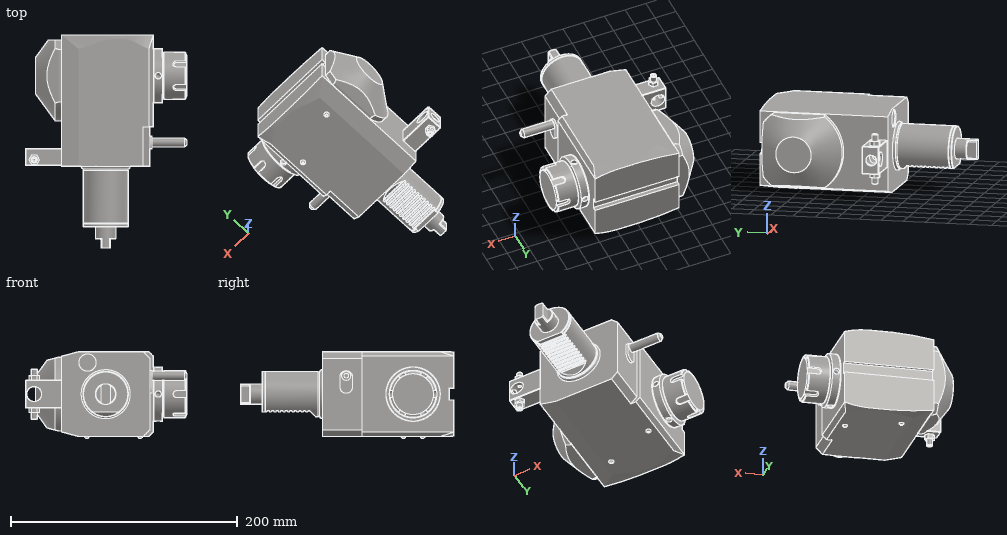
import cadquery as cq
import math


body_left = -39.0
body_right = 42.0
body_depth = 116.0
half_height = 37.5
left_bevel_width = 15.2
left_bevel_drop = left_bevel_width * math.tan(math.radians(15))
right_chamfer = 4.0
step_depth = 35.0
step_cut = 3.0
step_chamfer = 6.0
slot_width = 10.0
slot_depth = 4.0
crown_depth = 12.5
crown_peak_x = 13.5
crown_drop = 0.4
crown_rise = 0.9
crown_mid_drop = 0.17
plug_radius = 7.6
plug_x = -16.0
plug_z = 27.8
plug_recess = 1.0

spindle_y = 80.0
cover_radius = 40.0
cover_face_radius = 16.0
cover_face_x = -62.0
cover_cone_x = -44.5
cover_bevel_x = -41.3
cover_half_height = 32.7
cover_bevel_angle = 15.0
cover_back_y = 111.5

flange_radius = 24.0
flange_undercut = 0.5
flange_start = body_right + 0.7
flange_end = 50.0
flange_hole_radius = 2.75
flange_hole_depth = 4.0
flange_hole_count = 4
neck_radius = 16.3
nut_start = 51.0
nut_end = 70.6
nut_chamfer = 0.6
nut_radius = 21.0
nut_lip_radius = 18.0
nut_lip_end = 71.5
wrench_slot_count = 6
wrench_slot_width = 6.0
wrench_slot_start = 59.5
wrench_slot_floor = 18.0

pin_y = 21.1
pin_z = 16.2
pin_radius = 4.0
pin_end = 71.8
pin_chamfer_length = 2.2
pin_chamfer_width = 1.9
pin_plate_width = 11.2
pin_plate_bottom = 0.8
pin_plate_top = 20.6
pin_plate_thickness = 2.0

shank_radius = 20.0
shank_length = 53.2
shank_chamfer = 0.5
collar_radius = 21.6
collar_length = 2.3
collar_fillet = 2.0
neck_length = 1.4
neck_depth = 0.3
land_length = 3.2
land_groove_width = 0.5
land_groove_depth = 0.3
rack_flat_z = -15.8
rack_ramp_start = 5.8
rack_ramp_length = shank_radius + rack_flat_z
rack_pitch = 4.0
rack_first_groove = 11.7
rack_groove_count = 10
rack_groove_depth = 1.1
rack_groove_top = 2.6
rack_groove_bottom = 1.4

drive_radius = 9.1
drive_shoulder = 64.0
drive_end = 72.0
tang_thickness = 8.2
tang_chamfer = 0.8
drive_chamfer = 0.5
tang_root_fillet = 0.8

bracket_left = -70.8
bracket_front = 0.7
bracket_back = 15.9
bracket_half_height = 12.4
bracket_chamfer = 0.5
bracket_bore_x = -63.0
bracket_bore_radius = 6.5
side_bore_y = 7.6
side_bore_radius = 4.75
side_bore_end = -46.0
stud_hole_radius = 1.4
stud_hole_depth = 2.0
coolant_radius = 1.3
stud_y = 5.9
stud_radius = 2.7
stud_tip_z = 22.3
stud_chamfer = 0.4
stud_socket_flats = 2.5
stud_socket_depth = 2.0
stud_embed = 4.0
locknut_flats = 8.0
locknut_height = 4.0

nipple_places = [(-16.6, 88.5), (30.4, 71.5)]
nipple_base_radius = 2.3
nipple_tip_radius = 0.9
nipple_height = 1.6

overlap = 2.0
clearance = 20.0


def box(x0, x1, y0, y1, z0, z1):
    return cq.Workplane("XY").box(x1 - x0, y1 - y0, z1 - z0, centered=False).translate((x0, y0, z0))


def rod_x(y, z, radius, x0, x1):
    return cq.Workplane("YZ", origin=(x0, y, z)).circle(radius).extrude(x1 - x0)


def rod_y(x, z, radius, y0, y1):
    return cq.Workplane("XZ", origin=(x, y0, z)).circle(radius).extrude(y0 - y1)


def revolve_x(y, z, profile):
    """Turn an (x, radius) profile about a line parallel to X."""
    outline = cq.Workplane("XY").polyline(profile).close()
    return outline.revolve(360, (0, 0, 0), (1, 0, 0)).translate((0, y, z))


def mirror_z(shape):
    return shape.union(shape.mirror("XY"))


def crown_cutter():
    """Ruled cutter that slopes and arches the upper rear edge of the housing."""
    bevel_z = half_height - left_bevel_drop
    far_left = body_left - clearance
    far_right = body_right + clearance
    top = half_height + clearance

    def arched(plane, left_x, right_x, left_z, right_z, peak_z):
        left_reach = crown_peak_x - left_x
        right_reach = right_x - crown_peak_x
        left_mid = (crown_peak_x - left_reach / 2, peak_z - (peak_z - left_z) * crown_mid_drop)
        right_mid = (crown_peak_x + right_reach / 2, peak_z - (peak_z - right_z) * crown_mid_drop)
        return (
            plane.moveTo(far_left, left_z)
            .lineTo(left_x, left_z)
            .spline([left_mid, (crown_peak_x, peak_z), right_mid, (right_x, right_z)], includeCurrent=True)
            .lineTo(far_right, right_z)
            .lineTo(far_right, top)
            .lineTo(far_left, top)
            .close()
        )

    rear = arched(
        cq.Workplane("XZ", origin=(0, body_depth, 0)),
        body_left, body_right, bevel_z, half_height - right_chamfer, half_height - crown_drop,
    )
    both = arched(
        rear.workplane(offset=crown_depth),
        body_left + left_bevel_width, body_right - right_chamfer,
        half_height, half_height, half_height + crown_rise,
    )
    return both.loft(ruled=True)


def housing():
    bevel_z = half_height - left_bevel_drop
    upper = [
        (body_left, bevel_z),
        (body_left + left_bevel_width, half_height),
        (body_right - right_chamfer, half_height),
        (body_right, half_height - right_chamfer),
    ]
    lower = [(x, -z) for x, z in reversed(upper)]
    body = cq.Workplane("XZ").polyline(upper + lower).close().extrude(-body_depth)

    step_x = body_right - step_cut
    step_tool = box(step_x, body_right + clearance, -overlap, step_depth,
                    -half_height - overlap, half_height + overlap)
    corner = (
        cq.Workplane("XZ", origin=(0, -overlap, 0))
        .moveTo(step_x - step_chamfer, half_height)
        .lineTo(step_x + step_chamfer, half_height)
        .lineTo(step_x + step_chamfer, half_height - 2 * step_chamfer)
        .close()
        .extrude(-(step_depth + overlap))
    )
    slot = box(body_left - overlap, body_right + overlap, body_depth - slot_depth,
               body_depth + overlap, -slot_width / 2, slot_width / 2)
    plug = rod_y(plug_x, plug_z, plug_radius, -overlap, plug_recess)
    body = body.cut(step_tool).cut(mirror_z(corner)).cut(slot).cut(plug)
    crown = crown_cutter()
    return body.cut(crown).cut(crown.mirror("XY"))


def cover():
    """Domed cover on the far end of the spindle, trimmed flat at top, bottom and rear."""
    inner_x = body_left + overlap
    dome = revolve_x(spindle_y, 0, [
        (inner_x, 0),
        (inner_x, cover_radius),
        (cover_cone_x, cover_radius),
        (cover_face_x, cover_face_radius),
        (cover_face_x, 0),
    ])
    bevel_drop = (cover_bevel_x - cover_face_x) * math.tan(math.radians(cover_bevel_angle))
    face_z = cover_half_height - bevel_drop
    upper = [
        (cover_face_x, face_z),
        (cover_bevel_x, cover_half_height),
        (inner_x, cover_half_height),
    ]
    lower = [(x, -z) for x, z in reversed(upper)]
    envelope = (
        cq.Workplane("XZ", origin=(0, cover_back_y, 0))
        .polyline(upper + lower)
        .close()
        .extrude(2 * cover_radius)
    )
    return dome.intersect(envelope)


def spindle_nose():
    nose = revolve_x(spindle_y, 0, [
        (body_right - overlap, 0),
        (body_right - overlap, flange_radius - flange_undercut),
        (flange_start, flange_radius - flange_undercut),
        (flange_start, flange_radius),
        (flange_end, flange_radius),
        (flange_end, neck_radius),
        (nut_start, neck_radius),
        (nut_start, nut_radius - nut_chamfer),
        (nut_start + nut_chamfer, nut_radius),
        (nut_end - nut_chamfer, nut_radius),
        (nut_end, nut_radius - nut_chamfer),
        (nut_lip_end, nut_lip_radius),
        (nut_lip_end, 0),
    ])
    hole_x = (flange_start + flange_end) / 2
    hole = (
        cq.Workplane("XY", origin=(hole_x, spindle_y, flange_radius - flange_hole_depth))
        .circle(flange_hole_radius)
        .extrude(flange_hole_depth + overlap)
    )
    tip = cq.Workplane(cq.Solid.makeCone(
        flange_hole_radius, 0, flange_hole_radius,
        cq.Vector(hole_x, spindle_y, flange_radius - flange_hole_depth), cq.Vector(0, 0, -1),
    ))
    drilled = hole.union(tip)
    axis_start = (0, spindle_y, 0)
    axis_end = (1, spindle_y, 0)
    for i in range(flange_hole_count):
        nose = nose.cut(drilled.rotate(axis_start, axis_end, i * 360 / flange_hole_count))

    slot_length = nut_lip_end + overlap - wrench_slot_start + wrench_slot_width
    wrench_slot = (
        cq.Workplane("XZ", origin=(wrench_slot_start + slot_length / 2, spindle_y - wrench_slot_floor, 0))
        .slot2D(slot_length, wrench_slot_width)
        .extrude(nut_radius)
    )
    for i in range(wrench_slot_count):
        nose = nose.cut(wrench_slot.rotate(axis_start, axis_end, i * 360 / wrench_slot_count))
    return nose


def locating_pin():
    """Pointed pin standing on a round-ended plate on the stepped face."""
    step_x = body_right - step_cut
    pin = revolve_x(pin_y, pin_z, [
        (step_x - overlap, 0),
        (step_x - overlap, pin_radius),
        (pin_end - pin_chamfer_length, pin_radius),
        (pin_end, pin_radius - pin_chamfer_width),
        (pin_end, 0),
    ])
    plate = (
        cq.Workplane("YZ", origin=(step_x - overlap, pin_y, (pin_plate_bottom + pin_plate_top) / 2))
        .slot2D(pin_plate_top - pin_plate_bottom, pin_plate_width, 90)
        .extrude(overlap + pin_plate_thickness)
    )
    return pin.union(plate)


def ring_groove(start, width, depth):
    """Cutter for a groove around the shank, starting at a distance from the housing."""
    ring = rod_y(0, 0, shank_radius + overlap, -start, -start - width)
    return ring.cut(rod_y(0, 0, shank_radius - depth, 0, -shank_length))


def shank():
    """Round shank with a toothed clamping flat along its underside."""
    barrel = rod_y(0, 0, shank_radius, 0, -shank_length).faces("<Y").chamfer(shank_chamfer)
    land_start = shank_length - land_length
    groove = ring_groove(land_start, land_groove_width, land_groove_depth)
    neck = ring_groove(collar_length, neck_length, neck_depth)

    flat_tool = (
        cq.Workplane("YZ", origin=(-shank_radius, 0, 0))
        .moveTo(-rack_ramp_start, -shank_radius)
        .lineTo(-rack_ramp_start - rack_ramp_length, rack_flat_z)
        .lineTo(-shank_length - overlap, rack_flat_z)
        .lineTo(-shank_length - overlap, -shank_radius - overlap)
        .lineTo(-rack_ramp_start, -shank_radius - overlap)
        .close()
        .extrude(2 * shank_radius)
    )
    barrel = barrel.cut(groove).cut(neck).cut(flat_tool)
    for i in range(rack_groove_count):
        y = -rack_first_groove - i * rack_pitch
        tooth_gap = (
            cq.Workplane("YZ", origin=(-shank_radius, y, rack_flat_z))
            .moveTo(-rack_groove_top / 2, 0)
            .lineTo(-rack_groove_bottom / 2, rack_groove_depth)
            .lineTo(rack_groove_bottom / 2, rack_groove_depth)
            .lineTo(rack_groove_top / 2, 0)
            .close()
            .extrude(2 * shank_radius)
        )
        barrel = barrel.cut(tooth_gap)
    collar = rod_y(0, 0, collar_radius, overlap, -collar_length).faces("<Y").edges().fillet(collar_fillet)
    return barrel.union(collar)


def drive_tang():
    stub = rod_y(0, 0, drive_radius, overlap - shank_length, -drive_shoulder)
    stub = stub.faces("<Y").chamfer(drive_chamfer)
    half = tang_thickness / 2
    blade = box(-half, half, -drive_end, -drive_shoulder + overlap, -drive_radius, drive_radius)
    blade = blade.intersect(rod_y(0, 0, drive_radius, 0, -drive_end))
    blade = blade.edges("|Y").chamfer(tang_chamfer)
    root = (
        cq.Workplane("XY", origin=(0, 0, -drive_radius))
        .moveTo(half, -drive_shoulder)
        .lineTo(half + tang_root_fillet, -drive_shoulder)
        .radiusArc((half, -drive_shoulder - tang_root_fillet), -tang_root_fillet)
        .close()
        .extrude(2 * drive_radius)
    )
    roots = root.union(root.mirror("YZ"))
    roots = roots.intersect(rod_y(0, 0, drive_radius - drive_chamfer, 0, -drive_end))
    return stub.union(blade).union(roots)


def locking_stud():
    """Upper stud with its hexagon nut and socket."""
    base = (bracket_bore_x, stud_y, bracket_half_height - stud_embed)
    stud = cq.Workplane("XY", origin=base).circle(stud_radius).extrude(stud_tip_z - base[2])
    stud = stud.faces(">Z").chamfer(stud_chamfer)
    corner_factor = 1 / math.cos(math.radians(30))
    socket = (
        cq.Workplane("XY", origin=(bracket_bore_x, stud_y, stud_tip_z - stud_socket_depth))
        .polygon(6, stud_socket_flats * corner_factor)
        .extrude(stud_socket_depth + overlap)
    )
    locknut = (
        cq.Workplane("XY", origin=(bracket_bore_x, stud_y, bracket_half_height))
        .polygon(6, locknut_flats * corner_factor)
        .extrude(locknut_height)
    )
    return stud.union(locknut).cut(socket)


def coolant_bracket():
    block = box(bracket_left, body_left, bracket_front, bracket_back,
                -bracket_half_height, bracket_half_height)
    block = block.faces("<X or <Y or >Y").edges().edges("not(>X)").chamfer(bracket_chamfer)
    block = block.union(mirror_z(locking_stud()))
    bore = rod_y(bracket_bore_x, 0, bracket_bore_radius, bracket_front - overlap, bracket_back + overlap)
    side_bore = rod_x(side_bore_y, 0, side_bore_radius, bracket_left - overlap, side_bore_end)
    coolant = rod_x(side_bore_y, 0, coolant_radius, side_bore_end, body_left)
    stud_hole_end = bracket_bore_radius + stud_hole_depth
    stud_hole = (
        cq.Workplane("XY", origin=(bracket_bore_x, stud_y, -stud_hole_end))
        .circle(stud_hole_radius)
        .extrude(2 * stud_hole_end)
    )
    return block.cut(bore).cut(side_bore).cut(coolant).cut(stud_hole)


def nipple(x, y):
    return cq.Workplane(cq.Solid.makeCone(
        nipple_base_radius, nipple_tip_radius, nipple_height,
        cq.Vector(x, y, -half_height), cq.Vector(0, 0, -1),
    ))


result = housing()
for component in (cover(), spindle_nose(), locating_pin(), shank(), drive_tang(), coolant_bracket()):
    result = result.union(component)
for nipple_x, nipple_y in nipple_places:
    result = result.union(nipple(nipple_x, nipple_y))